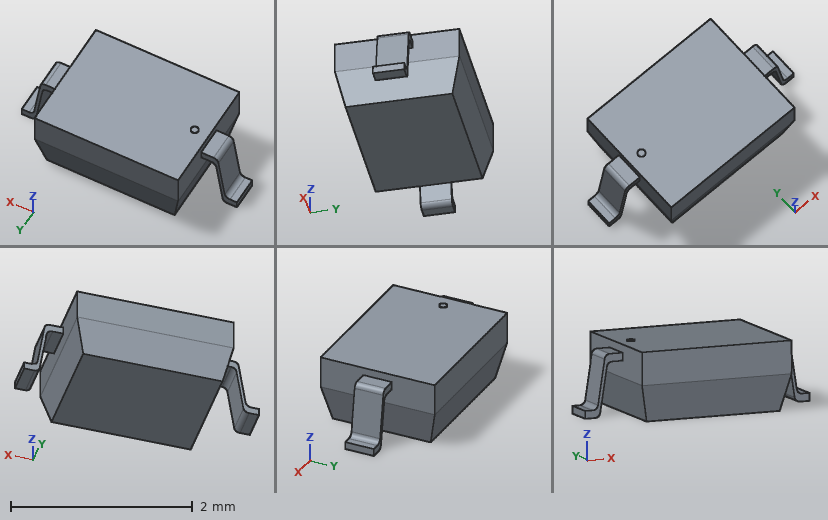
import cadquery as cq
import math

SPAN = 2.7

HOUSING_LENGTH = 1.8
HOUSING_WIDTH = 1.4
HOUSING_HEIGHT = 0.8
SPLIT_HEIGHT = 0.43
BOTTOM_INSET = 0.1

MARK_DIAMETER = 0.09
MARK_HEIGHT = 0.01
MARK_X = -0.724

LEAD_WIDTH = 0.35
LEAD_THICKNESS = 0.09
LEAD_TOP = 0.707
WEB_THICKNESS = 0.04
WEB_TOE = 0.145
WEB_ANGLE = 8.8
BEND_RADIUS = 0.065


def make_housing():
    """Box over a tapered base, with the round mark on top."""
    upper = (
        cq.Workplane("XY")
        .workplane(offset=SPLIT_HEIGHT)
        .rect(HOUSING_LENGTH, HOUSING_WIDTH)
        .extrude(HOUSING_HEIGHT - SPLIT_HEIGHT)
    )
    lower = (
        cq.Workplane("XY")
        .rect(HOUSING_LENGTH - 2 * BOTTOM_INSET, HOUSING_WIDTH - 2 * BOTTOM_INSET)
        .workplane(offset=SPLIT_HEIGHT)
        .rect(HOUSING_LENGTH, HOUSING_WIDTH)
        .loft(ruled=True)
    )
    mark = (
        cq.Workplane("XY")
        .workplane(offset=HOUSING_HEIGHT)
        .center(MARK_X, 0)
        .circle(MARK_DIAMETER / 2)
        .extrude(MARK_HEIGHT)
    )
    return upper.union(lower).union(mark)


def make_lead():
    """Left-hand lead, from its foot tip to the housing wall."""
    tip_x = -SPAN / 2
    wall_x = -HOUSING_LENGTH / 2
    shoulder_bottom = LEAD_TOP - LEAD_THICKNESS

    def web_outer_x(z):
        return tip_x + WEB_TOE + (z - LEAD_THICKNESS) * math.tan(math.radians(WEB_ANGLE))

    def web_inner_x(z):
        return web_outer_x(z) + WEB_THICKNESS

    outline = [
        (tip_x, 0),
        (web_inner_x(0), 0),
        (web_inner_x(shoulder_bottom), shoulder_bottom),
        (wall_x, shoulder_bottom),
        (wall_x, LEAD_TOP),
        (web_outer_x(LEAD_TOP), LEAD_TOP),
        (web_outer_x(LEAD_THICKNESS), LEAD_THICKNESS),
        (tip_x, LEAD_THICKNESS),
    ]
    lead = cq.Workplane("XZ").polyline(outline).close().extrude(LEAD_WIDTH / 2, both=True)

    bends = lead.edges("|Y").edges(
        cq.selectors.BoxSelector(
            (tip_x + WEB_TOE / 2, -LEAD_WIDTH, -LEAD_THICKNESS),
            (wall_x - LEAD_THICKNESS, LEAD_WIDTH, LEAD_TOP + LEAD_THICKNESS),
        )
    )
    return bends.fillet(BEND_RADIUS)


housing = make_housing()

leads = []
for turn in (0, 180):
    leads.append(make_lead().rotate((0, 0, 0), (0, 0, 1), turn).val())

result = cq.Compound.makeCompound([housing.val(), *leads])